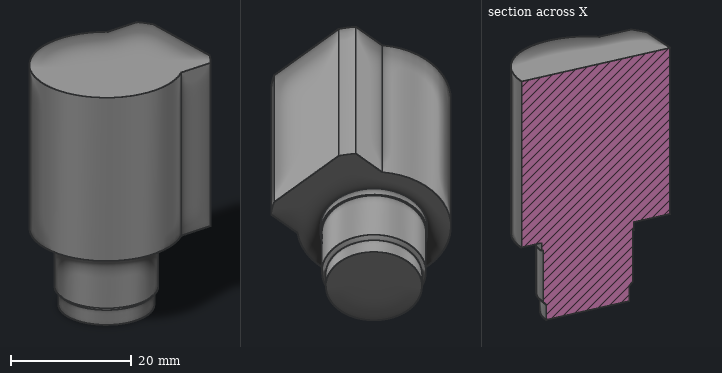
import cadquery as cq
import math

HEAD_RADIUS = 12.8
HEAD_HEIGHT = 30.0
KEY_HALF_WIDTH = 10.0
KEY_REACH = 15.8
KEY_CORNER_RADIUS = 15.5
KEY_CORNER_CENTER_Y = 2.3

COLLAR_RADIUS = 8.9
COLLAR_HEIGHT = 1.4
SHANK_RADIUS = 8.65
TIP_RADIUS = 8.0
TIP_HEIGHT = 2.74
STEM_HEIGHT = 14.04
BEVEL = SHANK_RADIUS - TIP_RADIUS


def leg(radius, other_leg):
    """Distance along one axis of a point on a circle, given the other axis."""
    return math.sqrt(radius**2 - other_leg**2)


def make_head():
    """Keyed head, standing on the Z = 0 plane."""
    side_start = leg(HEAD_RADIUS, KEY_HALF_WIDTH)
    side_end = KEY_CORNER_CENTER_Y + leg(KEY_CORNER_RADIUS, KEY_HALF_WIDTH)
    flat_half_width = leg(KEY_CORNER_RADIUS, KEY_REACH - KEY_CORNER_CENTER_Y)

    side_angle = math.acos(KEY_HALF_WIDTH / KEY_CORNER_RADIUS)
    flat_angle = math.acos(flat_half_width / KEY_CORNER_RADIUS)
    corner_mid_angle = (side_angle + flat_angle) / 2
    corner_mid_x = KEY_CORNER_RADIUS * math.cos(corner_mid_angle)
    corner_mid_y = KEY_CORNER_CENTER_Y + KEY_CORNER_RADIUS * math.sin(corner_mid_angle)

    return (
        cq.Workplane("XY")
        .moveTo(-KEY_HALF_WIDTH, side_start)
        .threePointArc((0, -HEAD_RADIUS), (KEY_HALF_WIDTH, side_start))
        .lineTo(KEY_HALF_WIDTH, side_end)
        .threePointArc((corner_mid_x, corner_mid_y), (flat_half_width, KEY_REACH))
        .lineTo(-flat_half_width, KEY_REACH)
        .threePointArc((-corner_mid_x, corner_mid_y), (-KEY_HALF_WIDTH, side_end))
        .close()
        .extrude(HEAD_HEIGHT)
    )


def make_stem():
    """Stepped round stem, turned about Z and hanging below Z = 0."""
    tip_top = TIP_HEIGHT - STEM_HEIGHT
    return (
        cq.Workplane("YZ")
        .moveTo(0, 0)
        .lineTo(-COLLAR_RADIUS, 0)
        .lineTo(-COLLAR_RADIUS, -COLLAR_HEIGHT)
        .lineTo(-SHANK_RADIUS, -COLLAR_HEIGHT)
        .lineTo(-SHANK_RADIUS, tip_top + BEVEL)
        .lineTo(-TIP_RADIUS, tip_top)
        .lineTo(-TIP_RADIUS, -STEM_HEIGHT)
        .lineTo(0, -STEM_HEIGHT)
        .close()
        .revolve(360, (0, 0), (0, 1))
    )


result = make_head().union(make_stem())